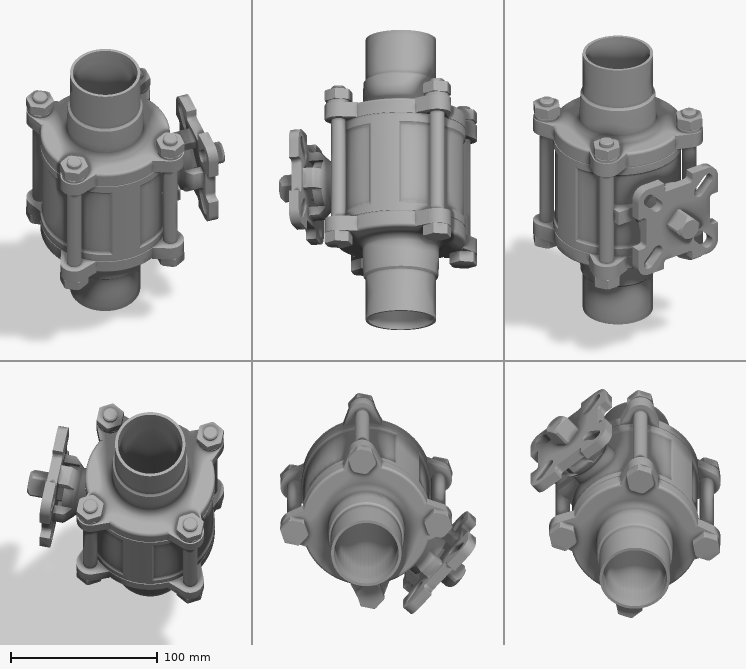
import cadquery as cq
import math


HALF_LENGTH = 100.0
BORE_RADIUS = 44.2 / 2
PIPE_RADIUS = 48.2 / 2
PIPE_SHOULDER_Z = 70.5
NECK_TOP_Z = 68.8
NECK_TOP_RADIUS = 25.5
NECK_BULGE_RADIUS = 26.2
NECK_BASE_RADIUS = 26.2
NECK_BASE_Z = 49.5
NECK_ROOT_RADIUS = 30.5

BODY_RADIUS = 88.5 / 2
FLANGE_BOTTOM_Z = 35.5
FLANGE_THICKNESS = 10.5
FLANGE_TOP_Z = FLANGE_BOTTOM_Z + FLANGE_THICKNESS
FLANGE_RIM_FILLET = 2.0

BOLT_SPACING = 69.8
BOLT_OFFSET = BOLT_SPACING / 2
LOBE_RADIUS = BODY_RADIUS - BOLT_OFFSET
LOBE_FLANK_ANGLE = 22.0
LOBE_FLANK_LENGTH = 12.0
BOLT_RADIUS = 10.0 / 2
BOLT_TIP_Z = 59.0
BOLT_TIP_CHAMFER = 0.8
HEX_ACROSS_FLATS = 17.0
HEX_HEIGHT = 7.5
HEX_CHAMFER = 0.5
WASHER_RADIUS = 17.0 / 2
WASHER_THICKNESS = 1.8
SPRING_WASHER_THICKNESS = 0.8
SPRING_WASHER_RADIUS = 7.8

BODY_HALF_HEIGHT = 34.5
SEAM_RADIUS = 43.8
RECESS_RADIUS = 43.0
RECESS_HALF_HEIGHT = 29.0
RECESS_FILLET = 2.0
SIDE_RIB_HALF_WIDTH = 10.0
SIDE_RIB_FOOT_HALF_WIDTH = 11.0
LUG_TOP_Y = 43.8
LUG_END_X = 31.0
LUG_BOTTOM_Y = 28.0
LUG_THICKNESS = 10.0

BOSS_RADIUS = 33.0 / 2
BOSS_TOP_Y = 48.5
BASE_CONE_TOP_Y = 51.5
COLLAR_TOP_Y = 58.8
ARM_WIDTH = 14.0
ARM_OUTER_RADIUS = 23.5
ARM_INNER_OFFSET = 16.5
ARM_BEND_RADIUS = 2.5
CONE_BASE_RADIUS = 16.0
ARM_PLATE_FILLET = 1.5

PLATE_BOTTOM_Y = 63.5
PLATE_THICKNESS = 7.0
PLATE_SIZE = 67.2
PLATE_CORNER_RADIUS = 8.5
NOTCH_WIDTH = 23.8
NOTCH_DEPTH = 6.8
NOTCH_FILLET = 2.5
SLOT_WIDTH = 8.5
SLOT_INNER_PITCH_RADIUS = 25.0
SLOT_OUTER_PITCH_RADIUS = 35.0

STEM_SQUARE = 14.8
STEM_DIAMETER = 19.0
STEM_TIP_CHAMFER = 2.5
OVERALL_DEPTH = 128.8
STEM_TIP_Y = OVERALL_DEPTH - BODY_RADIUS


def cylinder(radius, bottom, top):
    """Cylinder on the Z axis."""
    return cq.Workplane("XY", origin=(0, 0, bottom)).circle(radius).extrude(top - bottom)


def make_neck():
    """Upper pipe end with its barrel-shaped neck and concave root."""
    flat_radius = BODY_RADIUS - FLANGE_RIM_FILLET
    profile = (
        cq.Workplane("XZ")
        .moveTo(0, FLANGE_BOTTOM_Z)
        .lineTo(flat_radius, FLANGE_BOTTOM_Z)
        .lineTo(flat_radius, FLANGE_TOP_Z)
        .lineTo(NECK_ROOT_RADIUS, FLANGE_TOP_Z)
        .tangentArcPoint((NECK_BASE_RADIUS, NECK_BASE_Z), relative=False)
        .threePointArc(
            (NECK_BULGE_RADIUS, (NECK_BASE_Z + NECK_TOP_Z) / 2),
            (NECK_TOP_RADIUS, NECK_TOP_Z),
        )
        .lineTo(PIPE_RADIUS, PIPE_SHOULDER_Z)
        .lineTo(PIPE_RADIUS, HALF_LENGTH)
        .lineTo(0, HALF_LENGTH)
        .close()
    )
    return profile.revolve(360, (0, 0, 0), (0, 1, 0))


def make_lobe():
    """Bolt lobe at +X +Y, with straight flanks running tangentially into the flange."""
    angle = math.radians(LOBE_FLANK_ANGLE)
    tangent_x = BOLT_OFFSET - LOBE_RADIUS * math.sin(angle)
    tangent_y = BOLT_OFFSET + LOBE_RADIUS * math.cos(angle)
    foot_x = tangent_x - LOBE_FLANK_LENGTH * math.cos(angle)
    foot_y = tangent_y - LOBE_FLANK_LENGTH * math.sin(angle)
    root = BODY_RADIUS / 2
    web = (
        cq.Workplane("XY", origin=(0, 0, FLANGE_BOTTOM_Z))
        .polyline([
            (tangent_x, tangent_y),
            (foot_x, foot_y),
            (root, root),
            (foot_y, foot_x),
            (tangent_y, tangent_x),
            (BOLT_OFFSET, BOLT_OFFSET),
        ])
        .close()
        .extrude(FLANGE_THICKNESS)
    )
    end = cylinder(LOBE_RADIUS, FLANGE_BOTTOM_Z, FLANGE_TOP_Z)
    return web.union(end.translate((BOLT_OFFSET, BOLT_OFFSET, 0)))


def make_end_cap():
    """Upper end cap: rounded flange disc, four lobes and the pipe neck."""
    cap = cylinder(BODY_RADIUS, FLANGE_BOTTOM_Z, FLANGE_TOP_Z).faces(">Z").edges().fillet(FLANGE_RIM_FILLET)
    lobe = make_lobe()
    for quarter in range(4):
        cap = cap.union(lobe.rotate((0, 0, 0), (0, 0, 1), 90 * quarter))
    return cap.union(make_neck())


def make_hex(bottom):
    """Hexagon with conically chamfered corners, two corners lying along X."""
    corner_diameter = HEX_ACROSS_FLATS / math.cos(math.radians(30))
    hexagon = cq.Workplane("XY", origin=(0, 0, bottom)).polygon(6, corner_diameter).extrude(HEX_HEIGHT)
    turned = cylinder(corner_diameter / 2, bottom, bottom + HEX_HEIGHT)
    return hexagon.intersect(turned.edges().chamfer(HEX_CHAMFER))


def make_bolt():
    """Bolt on the Z axis: head below, then a flat washer, a narrower spring washer and a nut above."""
    bolt = cylinder(BOLT_RADIUS, -FLANGE_TOP_Z, BOLT_TIP_Z).faces(">Z").chamfer(BOLT_TIP_CHAMFER)
    bolt = bolt.union(make_hex(-FLANGE_TOP_Z - HEX_HEIGHT))
    washer_top = FLANGE_TOP_Z + WASHER_THICKNESS
    nut_bottom = washer_top + SPRING_WASHER_THICKNESS
    bolt = bolt.union(cylinder(WASHER_RADIUS, FLANGE_TOP_Z, washer_top))
    bolt = bolt.union(cylinder(SPRING_WASHER_RADIUS, washer_top, nut_bottom))
    return bolt.union(make_hex(nut_bottom))


def make_body():
    """Centre body: seams at both ends, recesses between the ribs on +X and -X, and a lug beside the stem."""
    body = cylinder(BODY_RADIUS, -BODY_HALF_HEIGHT, BODY_HALF_HEIGHT)
    fillet_start_radius = RECESS_RADIUS + RECESS_FILLET * (1 - math.sqrt(0.5))
    fillet_start_z = RECESS_HALF_HEIGHT - (BODY_RADIUS - fillet_start_radius)
    floor_half_height = fillet_start_z - RECESS_FILLET * math.sqrt(0.5)
    recess = (
        cq.Workplane("XZ")
        .moveTo(BODY_RADIUS, -RECESS_HALF_HEIGHT)
        .lineTo(BODY_RADIUS, RECESS_HALF_HEIGHT)
        .lineTo(fillet_start_radius, fillet_start_z)
        .tangentArcPoint((RECESS_RADIUS, floor_half_height), relative=False)
        .lineTo(RECESS_RADIUS, -floor_half_height)
        .tangentArcPoint((fillet_start_radius, -fillet_start_z), relative=False)
        .close()
        .revolve(360, (0, 0, 0), (0, 1, 0))
    )
    rib_foot_x = math.sqrt(RECESS_RADIUS**2 - SIDE_RIB_FOOT_HALF_WIDTH**2)
    rib_top_x = math.sqrt(BODY_RADIUS**2 - SIDE_RIB_HALF_WIDTH**2)
    ribs = (
        cq.Workplane("XY")
        .polyline([
            (0, -SIDE_RIB_FOOT_HALF_WIDTH),
            (rib_foot_x, -SIDE_RIB_FOOT_HALF_WIDTH),
            (rib_top_x, -SIDE_RIB_HALF_WIDTH),
            (BODY_RADIUS, -SIDE_RIB_HALF_WIDTH),
            (BODY_RADIUS, SIDE_RIB_HALF_WIDTH),
            (rib_top_x, SIDE_RIB_HALF_WIDTH),
            (rib_foot_x, SIDE_RIB_FOOT_HALF_WIDTH),
            (0, SIDE_RIB_FOOT_HALF_WIDTH),
        ])
        .close()
        .extrude(BODY_HALF_HEIGHT, both=True)
    )
    ribs = ribs.union(ribs.mirror("YZ"))
    for seam_bottom in (-FLANGE_BOTTOM_Z, BODY_HALF_HEIGHT):
        seam_top = seam_bottom + FLANGE_BOTTOM_Z - BODY_HALF_HEIGHT
        body = body.union(cylinder(SEAM_RADIUS, seam_bottom, seam_top))
    lug = cq.Workplane("XY").box(
        LUG_END_X, LUG_TOP_Y - LUG_BOTTOM_Y, LUG_THICKNESS, centered=(False, False, True)
    )
    return body.cut(recess.cut(ribs)).union(lug.translate((0, LUG_BOTTOM_Y, 0)))


def turned_about_y(points):
    """Solid turned about the Y axis from (radius, y) points."""
    return cq.Workplane("XY").polyline(points).close().revolve(360, (0, 0, 0), (0, 1, 0))


def make_stem_neck():
    """Boss on the body, its flared base cone and the collar around the stem."""
    cone_top_radius = CONE_BASE_RADIUS + BASE_CONE_TOP_Y - BOSS_TOP_Y
    return turned_about_y([
        (0, 0),
        (BOSS_RADIUS, 0),
        (BOSS_RADIUS, BOSS_TOP_Y),
        (CONE_BASE_RADIUS, BOSS_TOP_Y),
        (cone_top_radius, BASE_CONE_TOP_Y),
        (BOSS_RADIUS, BASE_CONE_TOP_Y),
        (BOSS_RADIUS, COLLAR_TOP_Y),
        (0, COLLAR_TOP_Y),
    ])


def make_arms():
    """Four bracket arms on +X, -X, +Z and -Z that carry the plate, rising on 45-degree cones."""
    fillet_middle = ARM_PLATE_FILLET * (1 - math.sqrt(0.5))
    bend_y = BOSS_TOP_Y + ARM_OUTER_RADIUS - CONE_BASE_RADIUS
    bend_tangent = ARM_BEND_RADIUS * math.tan(math.radians(45 / 2))
    bend_drop = bend_tangent * math.sqrt(0.5)
    shell = (
        cq.Workplane("XY")
        .moveTo(0, BOSS_TOP_Y)
        .lineTo(CONE_BASE_RADIUS, BOSS_TOP_Y)
        .lineTo(ARM_OUTER_RADIUS - bend_drop, bend_y - bend_drop)
        .tangentArcPoint((ARM_OUTER_RADIUS, bend_y + bend_tangent), relative=False)
        .lineTo(ARM_OUTER_RADIUS, PLATE_BOTTOM_Y - ARM_PLATE_FILLET)
        .threePointArc(
            (ARM_OUTER_RADIUS + fillet_middle, PLATE_BOTTOM_Y - fillet_middle),
            (ARM_OUTER_RADIUS + ARM_PLATE_FILLET, PLATE_BOTTOM_Y),
        )
        .lineTo(0, PLATE_BOTTOM_Y)
        .close()
        .revolve(360, (0, 0, 0), (0, 1, 0))
    )
    arm_length = PLATE_SIZE / 2 - ARM_INNER_OFFSET
    arm_block = cq.Workplane("XY").box(arm_length, PLATE_BOTTOM_Y, ARM_WIDTH, centered=(False, False, True))
    arm = shell.intersect(arm_block.translate((ARM_INNER_OFFSET, 0, 0)))
    arms = arm
    for quarter in range(1, 4):
        arms = arms.union(arm.rotate((0, 0, 0), (0, 1, 0), 90 * quarter))
    return arms


def make_plate():
    """Square mounting plate with a notch in each side and a diagonal slot in each corner."""
    plate = (
        cq.Workplane("XZ", origin=(0, PLATE_BOTTOM_Y, 0))
        .rect(PLATE_SIZE, PLATE_SIZE)
        .extrude(-PLATE_THICKNESS)
        .edges("|Y")
        .fillet(PLATE_CORNER_RADIUS)
    )
    middle_y = PLATE_BOTTOM_Y + PLATE_THICKNESS / 2
    notch = (
        cq.Workplane("XY")
        .box(2 * NOTCH_DEPTH, PLATE_THICKNESS, NOTCH_WIDTH)
        .edges("|Y and <X")
        .fillet(NOTCH_FILLET)
        .translate((PLATE_SIZE / 2, middle_y, 0))
    )
    slot_length = SLOT_OUTER_PITCH_RADIUS - SLOT_INNER_PITCH_RADIUS + SLOT_WIDTH
    slot_center = (SLOT_OUTER_PITCH_RADIUS + SLOT_INNER_PITCH_RADIUS) / 2
    slot = (
        cq.Workplane("XZ", origin=(0, PLATE_BOTTOM_Y, 0))
        .center(slot_center, 0)
        .slot2D(slot_length, SLOT_WIDTH)
        .extrude(-PLATE_THICKNESS)
        .rotate((0, 0, 0), (0, 1, 0), 45)
    )
    for quarter in range(4):
        for tool in (notch, slot):
            plate = plate.cut(tool.rotate((0, 0, 0), (0, 1, 0), 90 * quarter))
    return plate


def make_stem():
    """Square stem standing on its corners, turned down to a round with a chamfered tip."""
    square = (
        cq.Workplane("XZ")
        .transformed(rotate=(0, 0, 45))
        .rect(STEM_SQUARE, STEM_SQUARE)
        .extrude(-STEM_TIP_Y)
    )
    turned = cq.Workplane("XZ").circle(STEM_DIAMETER / 2).extrude(-STEM_TIP_Y)
    return square.intersect(turned.faces(">Y").chamfer(STEM_TIP_CHAMFER))


valve = make_body()
end_cap = make_end_cap()
for piece in (end_cap, end_cap.mirror("XY"), make_stem_neck(), make_arms(), make_plate(), make_stem()):
    valve = valve.union(piece)

bolt = make_bolt()
for side_x in (-1, 1):
    for side_y in (-1, 1):
        valve = valve.union(bolt.translate((side_x * BOLT_OFFSET, side_y * BOLT_OFFSET, 0)))

result = valve.cut(cylinder(BORE_RADIUS, -HALF_LENGTH, HALF_LENGTH))